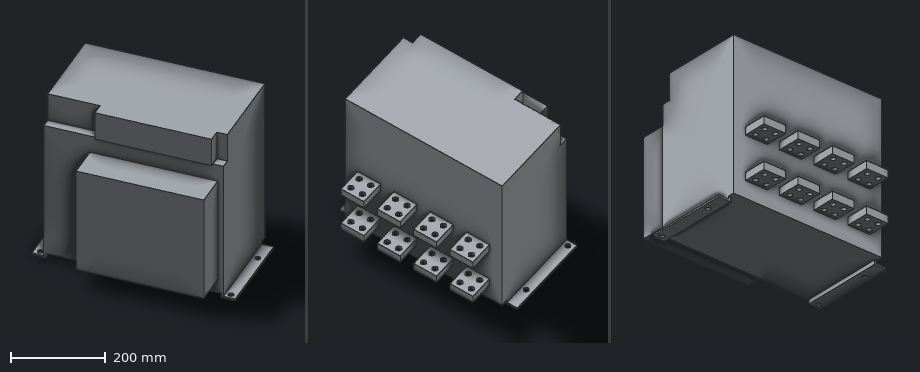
import cadquery as cq

overall_width = 465.0
overall_depth = 370.0
overall_height = 402.0
body_width = 411.0
body_depth = 232.0
body_bottom = 11.0

recess_height = 67.0
recess_depth = 22.0
left_recess_width = 120.0
right_recess_width = 24.0
hood_overhang = 7.0

box_width = 292.0
box_height = 250.0
box_right_margin = 13.0
box_bottom = 44.0

terminal_size = 60.0
terminal_thickness = 20.0
terminal_pitch = 95.0
terminals_per_row = 4
terminal_bottoms = (55.0, 167.0)
terminal_hole_diameter = 13.0
terminal_hole_pitch = 30.0

foot_depth = 215.0
foot_thickness = 4.5
foot_leg_thickness = 5.5
foot_hole_diameter = 12.0
foot_hole_pitch = 150.0
foot_hole_front_margin = 12.5
foot_hole_side_margin = 15.0

body_half_width = body_width / 2
box_depth = overall_depth - body_depth - terminal_size
recess_bottom = overall_height - recess_height


def block(x_min, x_max, y_min, y_max, z_min, z_max):
    """Rectangular block between the given limits."""
    size = (x_max - x_min, y_max - y_min, z_max - z_min)
    return cq.Workplane("XY").box(*size, centered=False).translate((x_min, y_min, z_min))


def make_body():
    """Main housing with recessed top corners and an overhanging hood."""
    body = block(-body_half_width, body_half_width, 0, body_depth, body_bottom, recess_bottom)
    upper = block(
        -body_half_width, body_half_width, recess_depth, body_depth, recess_bottom, overall_height
    )
    hood = block(
        -body_half_width + left_recess_width,
        body_half_width - right_recess_width,
        -hood_overhang,
        recess_depth,
        recess_bottom,
        overall_height,
    )
    return body.union(upper).union(hood)


def make_front_box():
    """Plain box on the front face, offset towards +X."""
    box_right = body_half_width - box_right_margin
    return block(box_right - box_width, box_right, -box_depth, 0, box_bottom, box_bottom + box_height)


def make_terminal(x_center, z_min):
    """Square terminal bar with a 2 x 2 pattern of vertical holes."""
    return (
        cq.Workplane("XY", origin=(x_center, body_depth + terminal_size / 2, z_min))
        .rect(terminal_size, terminal_size)
        .rarray(terminal_hole_pitch, terminal_hole_pitch, 2, 2)
        .circle(terminal_hole_diameter / 2)
        .extrude(terminal_thickness)
    )


def make_right_foot():
    """Angle foot: a short leg under the housing and a drilled outward flange."""
    leg = block(
        body_half_width - foot_leg_thickness, body_half_width, 0, foot_depth, 0, body_bottom
    )
    flange = block(body_half_width, overall_width / 2, 0, foot_depth, 0, foot_thickness)
    hole_x = overall_width / 2 - foot_hole_side_margin
    hole_positions = [
        (hole_x, foot_hole_front_margin),
        (hole_x, foot_hole_front_margin + foot_hole_pitch),
    ]
    holes = (
        cq.Workplane("XY")
        .pushPoints(hole_positions)
        .circle(foot_hole_diameter / 2)
        .extrude(foot_thickness)
    )
    return leg.union(flange).cut(holes)


right_foot = make_right_foot()
left_foot = right_foot.mirror("YZ")
result = make_body().union(make_front_box()).union(right_foot).union(left_foot)

for terminal_bottom in terminal_bottoms:
    for index in range(terminals_per_row):
        terminal_x = (index - (terminals_per_row - 1) / 2) * terminal_pitch
        result = result.union(make_terminal(terminal_x, terminal_bottom))